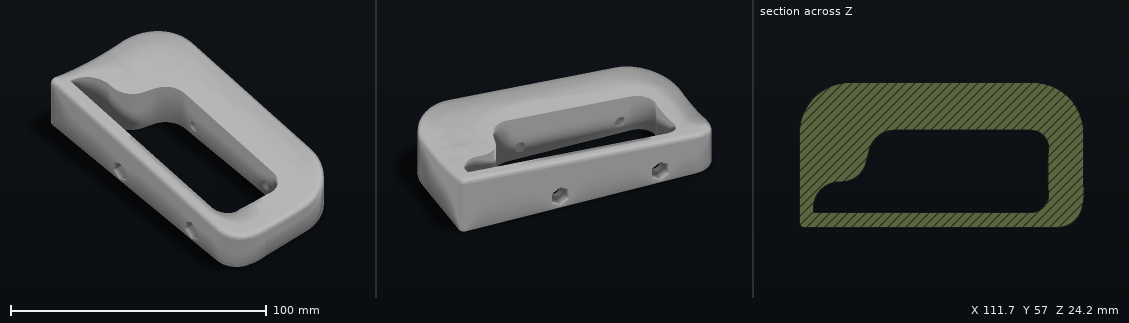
import cadquery as cq
import math

length = 111.8
width = 57.0
right_flat_x = 111.5
rear_corner_radius = 20.0
left_corner_radius = 2.0
front_right_radius = 10.1
bulge_setback = 0.6
front_right_sweep = 74.0
bulge_end_y = 16.5
rim_fillet = 2.0

top_slope = 0.063
front_edge_height = 24.9
valley_height = 21.2
rear_edge_height = 24.9
valley_y = width / 2
overrun = 5.6

window_left = 5.7
window_front = 6.0
window_rear = 38.1
step_y = 17.9
s_radius = 10.1
ledge_end_x = 16.5
s_center_spacing = 20.8
window_flat_x = 97.4
window_bulge_x = 97.7
window_corner_radius = 7.0

bolt_x = (42.7, 85.7)
bolt_z = 5.1
bolt_diameter = 4.5
nut_flats = 7.5
nut_depth = 4.0


def on_circle(center, radius, degrees):
    """Point on a circle at the given angle from +X."""
    angle = math.radians(degrees)
    return (center[0] + radius * math.cos(angle), center[1] + radius * math.sin(angle))


def make_block():
    """Outer plan extruded taller than the finished body."""
    bulge_start_angle = front_right_sweep - 90
    corner_center = (length - front_right_radius - bulge_setback, front_right_radius)
    bulge_start = on_circle(corner_center, front_right_radius, bulge_start_angle)
    corner_mid = on_circle(corner_center, front_right_radius, front_right_sweep / 2 - 90)
    r = rear_corner_radius
    plan = (
        cq.Workplane("XY")
        .moveTo(left_corner_radius, 0)
        .lineTo(corner_center[0], 0)
        .threePointArc(corner_mid, bulge_start)
        .tangentArcPoint((right_flat_x, bulge_end_y), relative=False)
        .lineTo(right_flat_x, width - r)
        .threePointArc(on_circle((right_flat_x - r, width - r), r, 45), (right_flat_x - r, width))
        .lineTo(r, width)
        .threePointArc(on_circle((r, width - r), r, 135), (0, width - r))
        .lineTo(0, left_corner_radius)
        .radiusArc((left_corner_radius, 0), -left_corner_radius)
        .close()
    )
    return plan.extrude(front_edge_height + overrun)


def make_top_cutter():
    """Space above the dished top: a profile swept along the slope."""
    ceiling = front_edge_height + 4 * overrun
    profile = (
        cq.Workplane("YZ")
        .moveTo(0, front_edge_height)
        .threePointArc((valley_y, valley_height), (width, rear_edge_height))
        .lineTo(width, ceiling)
        .lineTo(0, ceiling)
        .close()
    )
    face = cq.Face.makeFromWires(profile.wires().val()).translate(
        cq.Vector(-overrun, 0, overrun * top_slope)
    )
    run = length + 2 * overrun
    return cq.Workplane(cq.Solid.extrudeLinear(face, cq.Vector(run, 0, -run * top_slope)))


def make_window():
    """Through opening with an S-shaped left side."""
    r = window_corner_radius
    corner_x = window_bulge_x - r
    flat_angle = math.degrees(math.acos((window_flat_x - corner_x) / r))
    front_center = (corner_x, window_front + r)
    rear_center = (corner_x, window_rear - r)

    low_center = (window_left + s_radius, step_y - s_radius)
    mid_center = (ledge_end_x, step_y + s_radius)
    high_center = (mid_center[0] + s_center_spacing, window_rear - s_radius)
    s_tilt = math.degrees(math.acos(2 * s_radius / s_center_spacing))

    return (
        cq.Workplane("XY")
        .moveTo(window_left, window_front)
        .lineTo(corner_x, window_front)
        .threePointArc(
            on_circle(front_center, r, (flat_angle - 90) / 2),
            on_circle(front_center, r, flat_angle),
        )
        .lineTo(*on_circle(rear_center, r, -flat_angle))
        .threePointArc(
            on_circle(rear_center, r, (90 - flat_angle) / 2),
            on_circle(rear_center, r, 90),
        )
        .lineTo(high_center[0], window_rear)
        .threePointArc(
            on_circle(high_center, s_radius, 135),
            on_circle(high_center, s_radius, 180 - s_tilt),
        )
        .lineTo(*on_circle(mid_center, s_radius, -s_tilt))
        .threePointArc(
            on_circle(mid_center, s_radius, -45),
            on_circle(mid_center, s_radius, -90),
        )
        .lineTo(low_center[0], step_y)
        .threePointArc(
            on_circle(low_center, s_radius, 135),
            on_circle(low_center, s_radius, 180),
        )
        .close()
        .extrude(front_edge_height + overrun)
    )


def make_bolt_cutter(x):
    """Bolt hole through both walls plus the nut pocket, corner upward."""
    axis = cq.Workplane("XZ").center(x, bolt_z)
    hole = axis.circle(bolt_diameter / 2).extrude(-width)
    nut_corners = nut_flats / math.cos(math.pi / 6)
    pocket = axis.transformed(rotate=(0, 0, 90)).polygon(6, nut_corners).extrude(-nut_depth)
    return hole.union(pocket)


result = make_block().cut(make_top_cutter())
result = result.faces(">Z").edges().fillet(rim_fillet)
result = result.cut(make_window())
for x in bolt_x:
    result = result.cut(make_bolt_cutter(x))